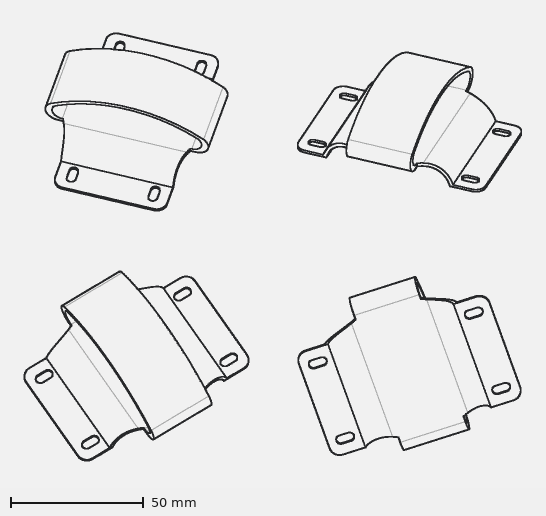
import cadquery as cq
import math

width = 64.2
length = 76.0
height = 26.3

band_length = 26.0
wall = 1.5
floor_top = 9.65
floor_bottom = floor_top - wall
outer_end_radius = 5.1
inner_end_radius = 3.95
inner_half_width = 29.4
outer_shoulder = (30.1, 17.25)
inner_shoulder = (27.5, 16.95)

leg_radius = 11.8
leg_start = 15.0
leg_center_z = floor_top - leg_radius

flange_width = 44.0
flange_thickness = 1.1
corner_radius = 4.0
side_sweep_radius = 30.9
slot_width = 3.5
slot_length = 7.0
slot_x = 16.0
slot_y = 31.1

leg_foot = leg_start + math.sqrt(leg_radius**2 - (flange_thickness - leg_center_z) ** 2)


def band_outline(half_width, bottom, top, end_radius, shoulder):
    """Flat floor, rounded ends and an arched roof, extruded along Y."""
    flat_end = half_width - end_radius
    side_z = bottom + end_radius
    shoulder_x, shoulder_z = shoulder
    return (
        cq.Workplane("XZ")
        .moveTo(-flat_end, bottom)
        .lineTo(flat_end, bottom)
        .threePointArc((half_width, side_z), (shoulder_x, shoulder_z))
        .threePointArc((0, top), (-shoulder_x, shoulder_z))
        .threePointArc((-half_width, side_z), (-flat_end, bottom))
        .close()
        .extrude(band_length / 2, both=True)
    )


def band_opening():
    return band_outline(
        inner_half_width, floor_top, height - wall, inner_end_radius, inner_shoulder
    )


def band():
    outside = band_outline(
        width / 2, floor_bottom, height, outer_end_radius, outer_shoulder
    )
    return outside.cut(band_opening())


def leg_hump(radius):
    """Solid under a flat top with a downward arc at each Y end, cut off at Z = 0."""
    top = leg_center_z + radius
    foot = leg_start + math.sqrt(radius**2 - leg_center_z**2)
    return (
        cq.Workplane("YZ")
        .moveTo(-foot, 0)
        .radiusArc((-leg_start, top), radius)
        .lineTo(leg_start, top)
        .radiusArc((foot, 0), radius)
        .close()
        .extrude(width / 2, both=True)
    )


def strap_plan():
    """Flange-wide strap whose sides flare out in arcs toward the band."""
    half_flange = flange_width / 2
    band_face = band_length / 2
    flare_run = leg_foot - band_face
    flare = side_sweep_radius - math.sqrt(side_sweep_radius**2 - flare_run**2)
    half_neck = half_flange + flare
    blank = (
        cq.Workplane("XY")
        .rect(flange_width, length)
        .extrude(height)
        .edges("|Z")
        .fillet(corner_radius)
    )
    flared_middle = (
        cq.Workplane("XY")
        .moveTo(-half_flange, -leg_foot)
        .lineTo(half_flange, -leg_foot)
        .radiusArc((half_neck, -band_face), side_sweep_radius)
        .lineTo(half_neck, band_face)
        .radiusArc((half_flange, leg_foot), side_sweep_radius)
        .lineTo(-half_flange, leg_foot)
        .radiusArc((-half_neck, band_face), side_sweep_radius)
        .lineTo(-half_neck, -band_face)
        .radiusArc((-half_flange, -leg_foot), side_sweep_radius)
        .close()
        .extrude(height)
    )
    return blank.union(flared_middle)


def strap():
    """Floor, legs and flanges as one bent strip."""
    flange_level = cq.Workplane("XY").box(
        width, length, flange_thickness, centered=(True, True, False)
    )
    profile = leg_hump(leg_radius).union(flange_level).cut(leg_hump(leg_radius - wall))
    return profile.intersect(strap_plan())


def mounting_slots():
    centers = [(x, y) for x in (-slot_x, slot_x) for y in (-slot_y, slot_y)]
    return (
        cq.Workplane("XY")
        .pushPoints(centers)
        .slot2D(slot_length, slot_width, 90)
        .extrude(flange_thickness)
    )


result = strap().union(band()).cut(mounting_slots())